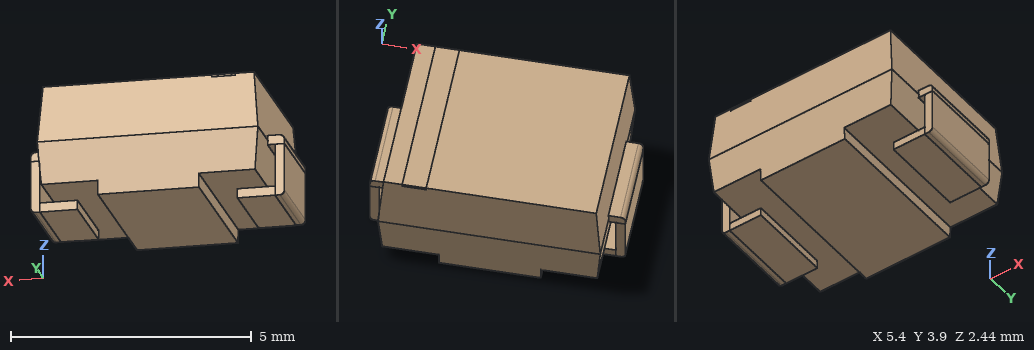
import cadquery as cq

total_length = 5.4
total_height = 2.44

housing_length = 4.7
housing_width = 3.9
parting_height = 1.21
end_inset = 0.1
side_inset = 0.09
pedestal_length = 2.15
pedestal_height = 0.295

band_start = -1.85
band_length = 0.51
band_depth = 0.05

lead_width = 2.0
lead_thickness = 0.2
lead_top = 1.32
top_bend_radius = 0.11
bottom_bend_radius = 0.095
lead_reach = 1.0

lead_outer_x = -total_length / 2
post_inner_x = lead_outer_x + lead_thickness
arm_bottom = lead_top - lead_thickness


def box_between(x_start, x_end, width, z_start, z_end):
    """Box centred on Y, between the given X and Z limits."""
    return (
        cq.Workplane("XY")
        .box(x_end - x_start, width, z_end - z_start, centered=(False, True, False))
        .translate((x_start, 0, z_start))
    )


def tapered_half(end_height):
    """Half of the housing, narrowing from the parting plane to the given height."""
    return (
        cq.Workplane("XY", origin=(0, 0, parting_height))
        .rect(housing_length, housing_width)
        .workplane(offset=end_height - parting_height)
        .rect(housing_length - 2 * end_inset, housing_width - 2 * side_inset)
        .loft(ruled=True, combine=True)
    )


def make_band(upper_blank):
    """Shallow strip across the top, trimmed to the sloping side walls."""
    strip = box_between(
        band_start, band_start + band_length, housing_width, total_height - band_depth, total_height
    )
    return upper_blank.intersect(strip)


def make_lower_housing(lower_blank):
    """Lower half with a relief above each foot, leaving the central pedestal."""
    pedestal_edge = pedestal_length / 2
    housing_end = housing_length / 2
    left_relief = box_between(-housing_end, -pedestal_edge, housing_width, 0, pedestal_height)
    right_relief = left_relief.mirror("YZ")
    return lower_blank.cut(left_relief).cut(right_relief)


def make_arm(housing_halves):
    """Left arm, with a rounded outer edge, ending against the housing walls."""
    arm = box_between(lead_outer_x, -housing_length / 2 + end_inset, lead_width, arm_bottom, lead_top)
    arm = arm.edges("<X and >Z").fillet(top_bend_radius)
    for half in housing_halves:
        arm = arm.cut(half)
    return arm


def make_post():
    """Left post, with a rounded lower outer edge."""
    post = box_between(lead_outer_x, post_inner_x, lead_width, 0, arm_bottom)
    return post.edges("<X and <Z").fillet(bottom_bend_radius)


def make_foot():
    """Left foot, running from the post inwards under the housing."""
    return box_between(post_inner_x, lead_outer_x + lead_reach, lead_width, 0, lead_thickness)


upper_blank = tapered_half(total_height)
band = make_band(upper_blank)
upper_housing = upper_blank.cut(band)
lower_housing = make_lower_housing(tapered_half(0))

lead_solids = []
for left_piece in (make_arm((upper_blank, lower_housing)), make_post(), make_foot()):
    right_piece = left_piece.mirror("YZ")
    lead_solids += [left_piece.val(), right_piece.val()]

bodies = [upper_housing, lower_housing, band]
result = cq.Compound.makeCompound([*(solid for body in bodies for solid in body.vals()), *lead_solids])